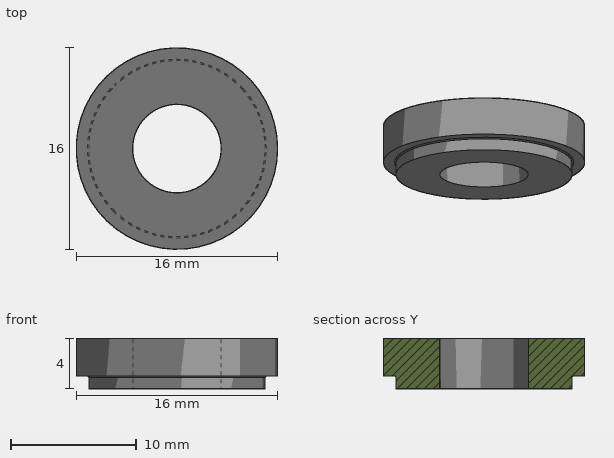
import cadquery as cq

flange_diameter = 16.0
spigot_diameter = 14.0
bore_diameter = 7.0
total_height = 4.0
spigot_height = 1.0
chamfer_size = 0.1

flange_radius = flange_diameter / 2
spigot_radius = spigot_diameter / 2
bore_radius = bore_diameter / 2

half_section = (
    cq.Workplane("XZ")
    .moveTo(bore_radius, 0)
    .lineTo(spigot_radius, 0)
    .lineTo(spigot_radius, spigot_height - chamfer_size)
    .lineTo(spigot_radius + chamfer_size, spigot_height)
    .lineTo(flange_radius, spigot_height)
    .lineTo(flange_radius, total_height)
    .lineTo(bore_radius, total_height)
    .close()
)

result = half_section.revolve(360, (0, 0), (0, 1))